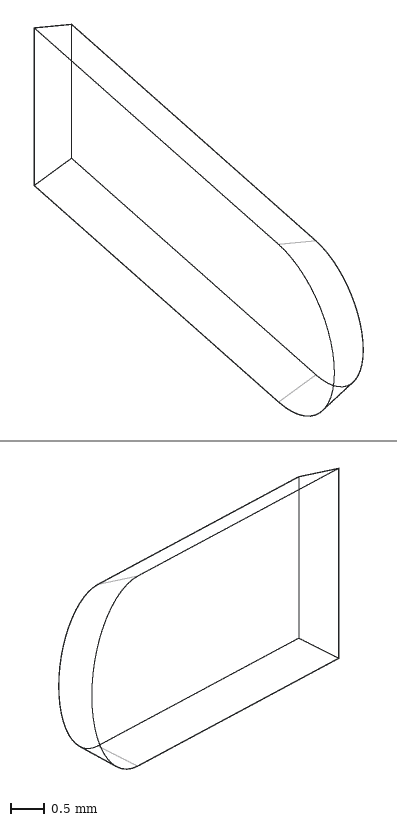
import cadquery as cq

length = 8.0
height = 2.98
thickness = 0.68
back_inset = 0.22

front_radius = height / 2
back_radius = front_radius - back_inset
straight_length = length - front_radius


bar = (
    cq.Workplane("YZ")
    .polyline([
        (0, -front_radius),
        (thickness, -back_radius),
        (thickness, back_radius),
        (0, front_radius),
    ])
    .close()
    .extrude(straight_length)
)

rounded_end = cq.Workplane(
    cq.Solid.makeCone(
        front_radius,
        back_radius,
        thickness,
        cq.Vector(straight_length, 0, 0),
        cq.Vector(0, 1, 0),
    )
)
outer_half = cq.Workplane("YZ", origin=(straight_length, 0, 0)).rect(2 * length, 2 * length).extrude(length)

result = bar.union(rounded_end.intersect(outer_half))